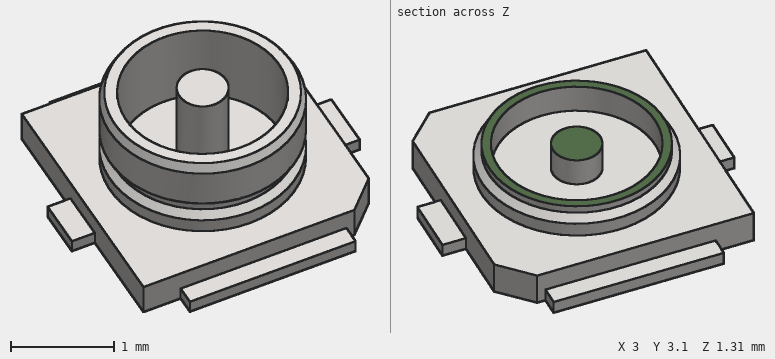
import cadquery as cq

overall_x = 3.0
overall_y = 3.1
overall_z = 1.31

base_side = 2.605
base_height = 0.35
corner_chamfer = 0.315

tab_height = 0.14
side_tab_width = 1.798
front_tab_width = 0.52
back_tab_width = 0.608

ring_radius = 1.0
neck_radius = 0.925
rim_radius = 0.952
bore_radius = 0.828
flange_top = 0.502
neck_bottom = 0.577
neck_top = 0.66
barrel_bottom = 0.735
barrel_top = 1.153
rim_top = 1.25
pin_radius = 0.25


def make_base():
    base = cq.Workplane("XY").box(base_side, base_side, base_height, centered=(True, True, False))
    return base.edges("|Z and >Y").chamfer(corner_chamfer)


def make_side_tabs():
    """One bar under the base, reaching out on both the -X and +X sides."""
    return cq.Workplane("XY").box(overall_x, side_tab_width, tab_height, centered=(True, True, False))


def make_end_tab(width, direction):
    """Tab reaching from the part center to the end at -Y (direction -1) or +Y (+1)."""
    length = overall_y / 2
    return (
        cq.Workplane("XY")
        .center(0, direction * length / 2)
        .box(width, length, tab_height, centered=(True, True, False))
    )


def make_ring():
    """Hollow ring with a snap groove and a bevelled rim, open down to the base."""
    profile = [
        (bore_radius, base_height),
        (ring_radius, base_height),
        (ring_radius, flange_top),
        (neck_radius, neck_bottom),
        (neck_radius, neck_top),
        (ring_radius, barrel_bottom),
        (ring_radius, barrel_top),
        (rim_radius, rim_top),
        (bore_radius, rim_top),
    ]
    return cq.Workplane("XZ").polyline(profile).close().revolve(360, (0, 0, 0), (0, 1, 0))


def make_pin():
    return cq.Workplane("XY").circle(pin_radius).extrude(overall_z)


result = (
    make_base()
    .union(make_side_tabs())
    .union(make_end_tab(front_tab_width, -1))
    .union(make_end_tab(back_tab_width, 1))
    .union(make_ring())
    .union(make_pin())
)